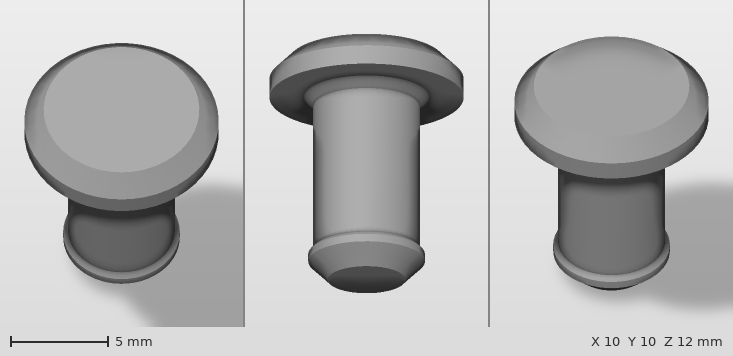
import cadquery as cq

total_height = 12.0
head_diameter = 10.0
head_height = 2.0
head_chamfer = 1.0
shank_diameter = 5.5
neck_flare = 0.5
collar_diameter = 6.0
collar_bottom = 1.0
collar_top = 1.4
tip_diameter = 4.0

head_radius = head_diameter / 2
shank_radius = shank_diameter / 2
collar_radius = collar_diameter / 2
tip_radius = tip_diameter / 2
head_bottom = total_height - head_height

collar_shoulder = collar_radius - shank_radius

half_section = (
    cq.Workplane("XZ")
    .lineTo(tip_radius, 0)
    .lineTo(collar_radius, collar_bottom)
    .lineTo(collar_radius, collar_top)
    .lineTo(shank_radius, collar_top + collar_shoulder)
    .lineTo(shank_radius, head_bottom - neck_flare)
    .lineTo(shank_radius + neck_flare, head_bottom)
    .lineTo(head_radius, head_bottom)
    .lineTo(head_radius, total_height - head_chamfer)
    .lineTo(head_radius - head_chamfer, total_height)
    .lineTo(0, total_height)
    .close()
)

result = half_section.revolve(360, (0, 0), (0, 1))